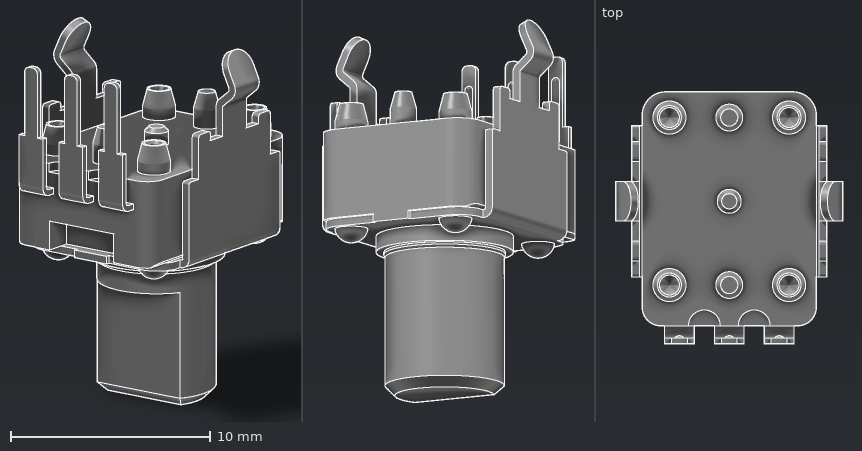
import cadquery as cq
import math


housing_width = 8.75
housing_back = 5.5
housing_front = -6.25
housing_height = 4.5
back_corner_radius = 1.2
front_corner_radius = 0.95
side_chamfer_inset = 0.28
side_chamfer_rise = 0.22
notch_radius = 0.8
notch_depth = 0.45
window_width = 4.0
window_height = 1.5
window_depth = 1.4

sheet = 0.4
plate_width = 8.7
plate_length = 10.6
plate_corner_radius = 1.25
plate_tab_width = 2.0
plate_tab_length = 11.0
bracket_width = 9.8
bracket_inner_bend = 0.1
wall_length = 7.6
wall_shoulder_z = -0.4
upper_wall_length = 6.0
upper_wall_top = 1.9
arm_width = 2.0
arm_notch_z = 1.4
ear_width = 1.0
wall_corner_radius = 0.15
ear_corner_radius = 0.2

arm_reach = 11.4
arm_top = 5.7
arm_bend_z = 3.05
arm_bend_radius = 0.3
arm_apex_radius = 0.4
arm_slant = math.radians(40)
arm_tip_lean = math.radians(25)

post_spacing_x = 6.0
post_spacing_y = 8.4
post_radius = 0.83
post_straight = 0.55
post_height = 1.45
post_tip_radius = 0.6
post_hole_radius = 0.5
post_hole_depth = 0.5
guide_radius = 0.67
guide_straight = 0.95
guide_tip_radius = 0.43
guide_height = 1.8
stub_radius = 0.6
stub_height = 0.9
stub_chamfer = 0.22
rivet_radius = 0.85
rivet_drop = 0.7

pin_pitch = 2.5
pin_sheet = 0.3
pin_front = -7.15
pin_bottom = -1.53
pin_inner_bend = 0.2
pin_embed = 0.5
pin_base_width = 1.5
pin_base_top = 1.5
pin_width = 0.8
pin_top = 5.1
pin_tip_radius = 0.3
bead_width = 0.45
bead_height = 0.11
bead_bottom = 0.6
bead_top = 4.05

collar_radius = 3.45
collar_bottom = -5.7
shaft_radius = 3.0
shaft_bottom = -13.0
shaft_chamfer = 0.5
lip_radius = 3.06
lip_height = 0.12
lip_taper = 0.15
flat_offset = 1.5
flat_top = -7.0

plate_bottom = -housing_height - sheet
post_x = post_spacing_x / 2
post_y = post_spacing_y / 2


def box(x_min, x_max, y_min, y_max, z_min, z_max):
    size = (x_max - x_min, y_max - y_min, z_max - z_min)
    return cq.Workplane("XY").box(*size, centered=False).translate((x_min, y_min, z_min))


def cone(bottom_radius, bottom, top_radius, top):
    """Cone or frustum on the Z axis; a radius of zero gives a point."""
    solid = cq.Solid.makeCone(bottom_radius, top_radius, top - bottom)
    return cq.Workplane("XY").add(solid.translate(cq.Vector(0, 0, bottom)))


def stepped_post(radius, straight, tip_radius, height):
    """Cylinder on Z = 0 that tapers to the tip radius above its straight part."""
    cylinder = cq.Workplane("XY").circle(radius).extrude(straight)
    return cylinder.union(cone(radius, straight, tip_radius, height))


def bent_strip(plane, corners, radii, thickness):
    """Outline of a sheet whose centre line runs through the corners, bent with the given radii."""
    points = [cq.Vector(*corner) for corner in corners]
    runs = [(b - a).normalized() for a, b in zip(points, points[1:])]
    normals = [cq.Vector(-run.y, run.x) for run in runs]
    half = thickness / 2

    bends = []
    for i, radius in enumerate(radii):
        turn = math.copysign(1, runs[i].cross(runs[i + 1]).z)
        setback = radius * math.tan(runs[i].getAngle(runs[i + 1]) / 2)
        centre = points[i + 1] - runs[i] * setback + normals[i] * (turn * radius)
        middle = (normals[i] + normals[i + 1]).normalized()
        bends.append((centre, turn * radius, normals[i], middle, normals[i + 1]))

    def face_arc(bend, side):
        centre, signed_radius, *directions = bend
        return [(centre + d * (side - signed_radius)).toTuple()[:2] for d in directions]

    outline = cq.Workplane(plane).moveTo(*(points[0] + normals[0] * half).toTuple()[:2])
    for bend in bends:
        start, middle, end = face_arc(bend, half)
        outline = outline.lineTo(*start).threePointArc(middle, end)
    outline = outline.lineTo(*(points[-1] + normals[-1] * half).toTuple()[:2])
    outline = outline.lineTo(*(points[-1] - normals[-1] * half).toTuple()[:2])
    for bend in reversed(bends):
        end, middle, start = face_arc(bend, -half)
        outline = outline.lineTo(*start).threePointArc(middle, end)
    outline = outline.lineTo(*(points[0] - normals[0] * half).toTuple()[:2])
    return outline.close()


def make_housing():
    """Moulded block with chamfered lower sides, two top notches and a window in the front."""
    half_width = housing_width / 2
    housing = box(-half_width, half_width, housing_front, housing_back, -housing_height, 0)
    housing = housing.edges("|Z and >Y").fillet(back_corner_radius)
    housing = housing.edges("|Z and <Y").fillet(front_corner_radius)

    wedge = (
        cq.Workplane("XZ")
        .moveTo(half_width, -housing_height)
        .lineTo(half_width, -housing_height + side_chamfer_rise)
        .lineTo(half_width - side_chamfer_inset, -housing_height)
        .close()
        .extrude(housing_back - housing_front)
        .translate((0, housing_back, 0))
    )
    housing = housing.cut(wedge).cut(wedge.mirror("YZ"))

    for x in (-pin_pitch / 2, pin_pitch / 2):
        notch = cq.Workplane("XY").circle(notch_radius).extrude(-notch_depth)
        housing = housing.cut(notch.translate((x, housing_front, 0)))

    window = box(
        -window_width / 2, window_width / 2,
        housing_front, housing_front + window_depth,
        -housing_height, -housing_height + window_height,
    )
    return housing.cut(window)


def make_plate():
    """Plate under the housing, with a shallow tab at the middle of its front and back edges."""
    plate = cq.Workplane("XY").rect(plate_width, plate_length).extrude(sheet)
    plate = plate.edges("|Z").fillet(plate_corner_radius)
    tab = cq.Workplane("XY").rect(plate_tab_width, plate_tab_length).extrude(sheet)
    return plate.union(tab).translate((0, 0, plate_bottom))


def make_wall_blank():
    """Block whose Y-Z outline trims one bracket wall and its arm."""
    def slab(length, bottom, top):
        return box(0, arm_reach / 2, -length / 2, length / 2, bottom, top)

    lower = slab(wall_length, plate_bottom, wall_shoulder_z)
    lower = lower.edges("|X and >Z").fillet(wall_corner_radius)
    upper = slab(upper_wall_length, plate_bottom, arm_notch_z)
    arm = slab(arm_width, plate_bottom, arm_top)
    ear = slab(ear_width, plate_bottom, upper_wall_top)
    ear = ear.edges("|X and >Z").fillet(ear_corner_radius)
    ear_y = (upper_wall_length - ear_width) / 2
    blank = lower.union(upper).union(arm)
    for y in (-ear_y, ear_y):
        blank = blank.union(ear.translate((0, y, 0)))
    return blank


def make_side():
    """Bracket wall on the +X side with its snap arm."""
    wall_x = (bracket_width - sheet) / 2
    plate_z = plate_bottom + sheet / 2
    half_turn = (math.pi / 2 + arm_tip_lean - arm_slant) / 2
    bisector_tilt = (math.pi / 2 - arm_slant - arm_tip_lean) / 2
    apex_centre_x = arm_reach / 2 - sheet / 2 - arm_apex_radius
    apex_x = apex_centre_x + arm_apex_radius * math.cos(bisector_tilt) / math.cos(half_turn)
    apex_z = arm_bend_z + (apex_x - wall_x) * math.tan(arm_slant)
    tip_radius = arm_width / 2
    tip_z = arm_top - sheet / 2 * math.sin(arm_tip_lean) - tip_radius * math.cos(arm_tip_lean)
    tip_x = apex_x - (tip_z - apex_z) * math.tan(arm_tip_lean)

    corners = [
        (plate_width / 2 - sheet, plate_z),
        (wall_x, plate_z),
        (wall_x, arm_bend_z),
        (apex_x, apex_z),
        (tip_x, tip_z),
    ]
    radii = [bracket_inner_bend + sheet / 2, arm_bend_radius, arm_apex_radius]
    side = bent_strip("XZ", corners, radii, sheet).extrude(wall_length / 2, both=True)
    side = side.intersect(make_wall_blank())

    tip_plane = cq.Plane(
        origin=(tip_x, 0, tip_z),
        xDir=(0, 1, 0),
        normal=(math.cos(arm_tip_lean), 0, math.sin(arm_tip_lean)),
    )
    tip = (
        cq.Workplane(tip_plane)
        .moveTo(-tip_radius, 0)
        .lineTo(tip_radius, 0)
        .threePointArc((0, tip_radius), (-tip_radius, 0))
        .close()
        .extrude(sheet / 2, both=True)
    )
    return side.union(tip)


def make_pin():
    """Terminal at X = 0: a foot leaving the housing, bent up into a stepped blade."""
    blade_y = pin_front + pin_sheet / 2
    foot_z = pin_bottom + pin_sheet / 2
    corners = [(housing_front + pin_embed, foot_z), (blade_y, foot_z), (blade_y, pin_top)]
    strip = bent_strip("YZ", corners, [pin_inner_bend + pin_sheet / 2], pin_sheet)
    strip = strip.extrude(pin_base_width / 2, both=True)

    base_half = pin_base_width / 2
    pin_half = pin_width / 2
    y_range = (pin_front, housing_front + pin_embed)
    base = box(-base_half, base_half, *y_range, pin_bottom, pin_base_top)
    blade = box(-pin_half, pin_half, *y_range, pin_bottom, pin_top)
    blade = blade.edges("|Y and >Z").fillet(pin_tip_radius)
    pin = strip.intersect(base.union(blade))

    bead_radius = (bead_width**2 / 4 + bead_height**2) / (2 * bead_height)
    bead_length = bead_top - bead_bottom - bead_width
    bead = cq.Workplane("XY").circle(bead_radius).extrude(bead_length)
    for z in (0, bead_length):
        bead = bead.union(cq.Workplane("XY").sphere(bead_radius).translate((0, 0, z)))
    bead_y = pin_front + pin_sheet + bead_height - bead_radius
    bead = bead.translate((0, bead_y, bead_bottom + bead_width / 2))
    behind_blade = box(-pin_half, pin_half, blade_y, housing_front, bead_bottom, bead_top)
    return pin.union(bead.intersect(behind_blade))


def make_posts():
    """Hollow-tipped corner posts, two taller guides and a central stub."""
    corner_post = stepped_post(post_radius, post_straight, post_tip_radius, post_height)
    corner_post = corner_post.cut(cone(0, post_height - post_hole_depth, post_hole_radius, post_height))
    guide = stepped_post(guide_radius, guide_straight, guide_tip_radius, guide_height)
    posts = stepped_post(stub_radius, stub_height - stub_chamfer, stub_radius - stub_chamfer, stub_height)
    for y in (-post_y, post_y):
        posts = posts.union(guide.translate((0, y, 0)))
        for x in (-post_x, post_x):
            posts = posts.union(corner_post.translate((x, y, 0)))
    return posts


def make_rivets():
    """Domed heads, each a sphere trimmed inside the plate."""
    centre_z = plate_bottom - rivet_drop + rivet_radius
    side_range = (-rivet_radius, rivet_radius)
    trim = box(*side_range, *side_range, plate_bottom - rivet_drop, plate_bottom + sheet / 2)
    head = cq.Workplane("XY").sphere(rivet_radius).translate((0, 0, centre_z)).intersect(trim)
    rivets = cq.Workplane("XY")
    for x in (-post_x, post_x):
        for y in (-post_y, post_y):
            rivets = rivets.add(head.translate((x, y, 0)))
    return rivets.combine()


def make_shaft():
    """Collar, lip and shaft, flattened towards -Y and chamfered at its end."""
    collar = cq.Workplane("XY").workplane(offset=collar_bottom).circle(collar_radius)
    collar = collar.extrude(plate_bottom - collar_bottom)
    shaft = cq.Workplane("XY").workplane(offset=shaft_bottom).circle(shaft_radius)
    shaft = shaft.extrude(collar_bottom - shaft_bottom)
    flat = box(-shaft_radius, shaft_radius, -shaft_radius, -flat_offset, shaft_bottom, flat_top)
    shaft = shaft.cut(flat).faces("<Z").chamfer(shaft_chamfer)

    lip_bottom = collar_bottom - lip_height
    lip = cq.Workplane("XY").workplane(offset=lip_bottom).circle(lip_radius).extrude(lip_height)
    lip = lip.union(cone(shaft_radius, lip_bottom - lip_taper, lip_radius, lip_bottom))
    return collar.union(shaft).union(lip)


side = make_side()
pin = make_pin()

result = make_housing().union(make_plate()).union(side).union(side.mirror("YZ"))
result = result.union(make_posts()).union(make_rivets()).union(make_shaft())
for i in (-1, 0, 1):
    result = result.union(pin.translate((i * pin_pitch, 0, 0)))